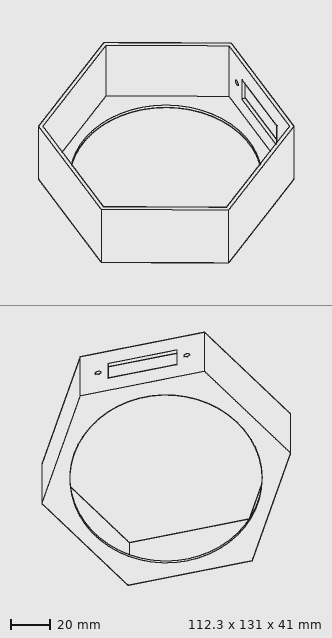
import cadquery as cq

length_y = 131.0
width_x = 112.3
height = 41.0
side_length = 65.9
wall = 2.0
floor_thickness = 2.0
floor_hole_diameter = 98.0
floor_hole_center_y = -0.4

window_width = 36.0
window_height = 15.0
window_center_z = height / 2
screw_hole_diameter = 3.0
screw_hole_spacing = 46.4
cut_depth = 4 * wall

half_x = width_x / 2
half_y = length_y / 2
half_side = side_length / 2
wall_run_y = half_y - half_side


def hexagon_outline(bottom_z):
    """Closed outer hexagon lying at height bottom_z."""
    corners = [
        (0, half_y),
        (half_x, half_side),
        (half_x, -half_side),
        (0, -half_y),
        (-half_x, -half_side),
        (-half_x, half_side),
    ]
    return cq.Workplane("XY").workplane(offset=bottom_z).polyline(corners).close()


def wall_plane():
    """Plane on the +X +Y wall, centred along it, with its normal pointing outward."""
    return cq.Plane(
        origin=(half_x / 2, (half_y + half_side) / 2, window_center_z),
        xDir=(-half_x, wall_run_y, 0),
        normal=(wall_run_y, half_x, 0),
    )


shell = hexagon_outline(0).extrude(height)
cavity = hexagon_outline(floor_thickness).offset2D(-wall, "intersection").extrude(height)
floor_hole = (
    cq.Workplane("XY")
    .center(0, floor_hole_center_y)
    .circle(floor_hole_diameter / 2)
    .extrude(floor_thickness)
)

window = cq.Workplane(wall_plane()).rect(window_width, window_height).extrude(cut_depth, both=True)
screw_holes = (
    cq.Workplane(wall_plane())
    .pushPoints([(-screw_hole_spacing / 2, 0), (screw_hole_spacing / 2, 0)])
    .circle(screw_hole_diameter / 2)
    .extrude(cut_depth, both=True)
)

result = shell.cut(cavity).cut(floor_hole).cut(window).cut(screw_holes)